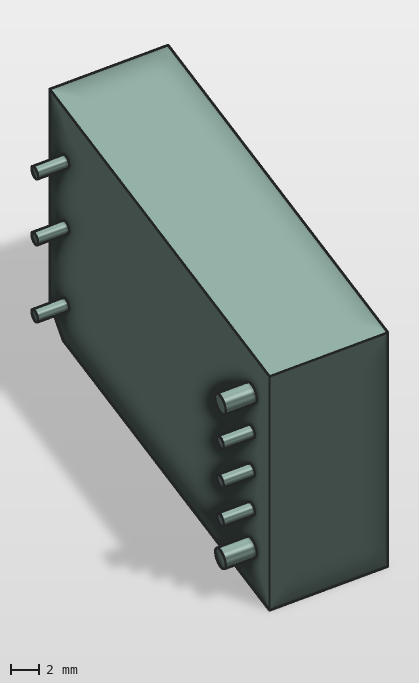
import cadquery as cq

body_width = 33.1
body_depth = 9.5
body_height = 23.1
corner_cut = 2.0

pin_length = 2.5
thin_pin_diameter = 1.0
thick_pin_diameter = 1.6

pin_pitch = 3.81
column_spacing = 27.94
column_offset = -0.12
left_column_x = column_offset - column_spacing / 2
right_column_x = column_offset + column_spacing / 2
row_offset = 0.03
left_top_pin_height = 6.5

left_thin_pins = [-2 * pin_pitch, 0, left_top_pin_height]
right_thin_pins = [-pin_pitch, 0, pin_pitch]
right_thick_pins = [-2 * pin_pitch, 2 * pin_pitch]


def make_body():
    """Block centred on X and Z, with its pin face on the plane Y = 0."""
    block = cq.Workplane("XY").box(
        body_width, body_depth, body_height, centered=(True, False, True)
    )
    return block.edges("<X and <Z").chamfer(corner_cut)


def make_pins(column_x, heights, diameter):
    """Column of equal pins reaching from the pin face toward -Y."""
    centres = [(column_x, row_offset + height) for height in heights]
    return cq.Workplane("XZ").pushPoints(centres).circle(diameter / 2).extrude(pin_length)


result = (
    make_body()
    .union(make_pins(left_column_x, left_thin_pins, thin_pin_diameter))
    .union(make_pins(right_column_x, right_thin_pins, thin_pin_diameter))
    .union(make_pins(right_column_x, right_thick_pins, thick_pin_diameter))
)